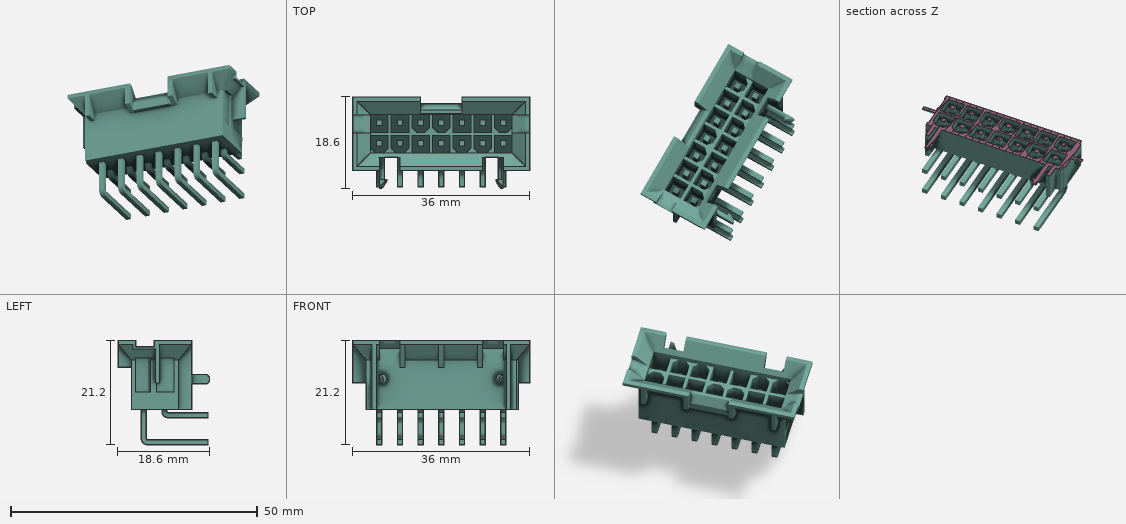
import cadquery as cq


columns = 7
pitch = 4.2
pin_size = 1.07
inner_bend_radius = 0.2
pin_shift = 0.16
pin_tip_y = -10.8
pin_top_z = 8.0
upper_run_z = -1.14

overall_height = 21.23
body_height = 14.05
lower_run_z = body_height - overall_height + pin_size / 2
rim_length = 36.0
rim_depth = 15.0
flare = 2.7
rim_band = 0.8
flare_bottom_z = 10.05

rim_x = rim_length / 2
rim_y = rim_depth / 2
body_x = rim_x - flare
body_y = rim_y - flare
rim_wall = 0.9
wall = 0.9
cavity_x = body_x - wall
cavity_y = body_y - wall
funnel_drop = 2.5
funnel_bottom_z = body_height - funnel_drop

cell = 3.6
cell_chamfer = 1.0
cell_floor_z = 3.6
divider_top_z = 10.5
keyed_columns = {1: (2, 3, 6), -1: (0, 1, 4, 5)}

rib = 0.9
end_rib_x = 13.65
gusset_width = 1.06
gusset_bottom_z = 8.58
rear_gusset_tip_z = 9.65
side_rib_y = -0.48
side_rib_width = 0.8
side_rib_bottom_z = 5.45

gap_half_width = pitch
gap_ledge_y = 4.17
ledge_z = funnel_bottom_z + (gap_ledge_y - cavity_y) * funnel_drop / flare
latch_reach_y = 6.15
latch_tip_z = 10.2
notch_width = pitch
notch_x = 10.5
side_notch_front_y = 0.15
side_notch_rear_y = 3.85
side_notch_depth = 1.28
side_notch_z = body_height - side_notch_depth
side_lip_width = 0.5
side_lip_drop = 0.06
side_saddle_front_y = -0.1
side_saddle_rear_y = 4.42
side_saddle_thickness = 0.42
side_saddle_z = side_notch_z - side_saddle_thickness

ridge_height = 0.4
recess_depth = 0.2
recess_slant = 0.25
recess_overshoot = 0.4
recess_bottom_z = 3.6
recess_top_z = 10.5
front_recess_y = -0.28
rear_recess_y = 0.92

peg_x = 12.58
peg_z = 6.17
peg_half_height = 0.97
peg_slab = 0.37
peg_shaft_width = 1.05
peg_head_slab = 1.03
peg_head_width = 1.5
peg_head_y = -9.3
peg_cone_y = -9.6
peg_shoulder_y = -10.8
peg_shoulder_radius = 0.8
peg_tip_y = -11.1
peg_tip_radius = 0.4


def block(x0, x1, y0, y1, z0, z1):
    """Box between two opposite corners."""
    return cq.Workplane("XY").box(x1 - x0, y1 - y0, z1 - z0, centered=False).translate((x0, y0, z0))


def frustum(x0, y0, z0, x1, y1, z1):
    """Rectangular frustum given by its half sizes at two heights."""
    lower = cq.Workplane("XY").workplane(offset=z0).rect(2 * x0, 2 * y0)
    return lower.workplane(offset=z1 - z0).rect(2 * x1, 2 * y1).loft(ruled=True)


def along_x(points, x0, x1):
    """Prism with a (y, z) outline, spanning x0 to x1."""
    return cq.Workplane("YZ").polyline(points).close().extrude(x1 - x0).translate((x0, 0, 0))


def along_y(points, y0, y1):
    """Prism with an (x, z) outline, spanning y0 to y1."""
    return cq.Workplane("XZ").polyline(points).close().extrude(y0 - y1).translate((0, y0, 0))


def along_z(points, z0, z1):
    """Prism with an (x, y) outline, spanning z0 to z1."""
    return cq.Workplane("XY").polyline(points).close().extrude(z1 - z0).translate((0, 0, z0))


def mirrored(solid):
    """The solid together with its mirror image across X = 0."""
    return solid.union(solid.mirror("YZ"))


def column_x(column):
    return (column - (columns - 1) / 2) * pitch


def shell():
    """Block body carrying the flared rim, with thickened saddles under the side notches."""
    band_z = body_height - rim_band
    body = block(-body_x, body_x, -body_y, body_y, 0, band_z)
    body = body.union(frustum(body_x, body_y, flare_bottom_z, rim_x, rim_y, band_z))
    body = body.union(block(-rim_x, rim_x, -rim_y, rim_y, band_z, body_height))
    saddle = block(body_x, rim_x, side_saddle_front_y, side_saddle_rear_y, side_saddle_z, band_z)
    return body.union(mirrored(saddle))


def ribs():
    """Full-height end ribs at the front, shorter ones at the rear and on the sides."""
    x0, x1 = end_rib_x - rib / 2, end_rib_x + rib / 2
    front = block(x0, x1, -rim_y, -body_y, 0, body_height - rim_band)
    rear = block(x0, x1, body_y, rim_y, gusset_bottom_z, body_height - rim_band)
    y0, y1 = side_rib_y - side_rib_width / 2, side_rib_y + side_rib_width / 2
    side = block(body_x - recess_depth, rim_x, y0, y1, side_rib_bottom_z, body_height - rim_band)
    return mirrored(front.union(rear).union(side))


def front_gussets():
    """Three triangular gussets under the middle of the front rim."""
    band_z = body_height - rim_band
    outer_x = notch_x - notch_width / 2 - gusset_width / 2
    outline = [(-body_y, gusset_bottom_z), (-rim_y, band_z), (-body_y, band_z)]
    gussets = cq.Workplane("XY")
    for x in (-outer_x, 0, outer_x):
        gussets = gussets.union(along_x(outline, x - gusset_width / 2, x + gusset_width / 2))
    return gussets


def rear_gussets():
    """Deep gussets flush with both ends of the rear gap."""
    band_z = body_height - rim_band
    outline = [(body_y, gusset_bottom_z), (rim_y, rear_gusset_tip_z), (rim_y, band_z), (body_y, band_z)]
    return mirrored(along_x(outline, gap_half_width, gap_half_width + gusset_width))


def stacking_ridge():
    """Ridge down the +X end with rounded vertical sides."""
    ridge = block(cavity_x, body_x + ridge_height, -cavity_y, cavity_y, 0, recess_top_z)
    return ridge.edges("|Z and >X").fillet(ridge_height)


def stacking_recesses():
    """Two shallow recesses in the -X end; the rear one has a sloping front side."""
    floor_x = recess_depth - body_x
    open_x = -body_x - recess_overshoot
    open_slant = recess_slant * recess_overshoot / recess_depth
    front = block(open_x, floor_x, -cavity_y, front_recess_y, recess_bottom_z, recess_top_z)
    rear_outline = [(floor_x, cavity_y), (floor_x, rear_recess_y + recess_slant),
                    (open_x, rear_recess_y - open_slant), (open_x, cavity_y)]
    return front.union(along_z(rear_outline, recess_bottom_z, recess_top_z))


def contact_cells():
    """Square wells, some with the two front corners chamfered, below an open cavity."""
    void = block(-cavity_x, cavity_x, -cavity_y, cavity_y, divider_top_z, funnel_bottom_z)
    funnel_x, funnel_y = rim_x - rim_wall, rim_y - rim_wall
    void = void.union(frustum(cavity_x, cavity_y, funnel_bottom_z, funnel_x, funnel_y, body_height))
    half = cell / 2
    square = [(-half, -half), (half, -half), (half, half), (-half, half)]
    keyed = [(cell_chamfer - half, -half), (half - cell_chamfer, -half), (half, cell_chamfer - half),
             (half, half), (-half, half), (-half, cell_chamfer - half)]
    for row in (1, -1):
        for column in range(columns):
            outline = keyed if column in keyed_columns[row] else square
            well = along_z(outline, cell_floor_z, divider_top_z)
            void = void.union(well.translate((column_x(column), row * pitch / 2, 0)))
    return void


def rear_gap():
    """Opening in the rear rim down to a narrow ledge on the wall."""
    above_ledge = block(-gap_half_width, gap_half_width, cavity_y, rim_y, ledge_z, body_height)
    behind_wall = block(-gap_half_width, gap_half_width, body_y, rim_y, 0, body_height)
    return above_ledge.union(behind_wall)


def latch_ramp():
    """Wedge on the rear wall, inside the gap, that a latch hooks under."""
    outline = [(body_y, gusset_bottom_z), (latch_reach_y, gusset_bottom_z),
               (latch_reach_y, latch_tip_z), (body_y, ledge_z)]
    return along_x(outline, -gap_half_width, gap_half_width)


def front_notches():
    """Gaps in the front rim, flush with the body wall, above the snap pegs."""
    x0, x1 = notch_x - notch_width / 2, notch_x + notch_width / 2
    return mirrored(block(x0, x1, -rim_y, -body_y, 0, body_height))


def side_notches():
    """Lowered stretches of the end rims with a flatter lead-in slope."""
    funnel_edge_x = rim_x - rim_wall
    outline = [(cavity_x, funnel_bottom_z), (funnel_edge_x, side_notch_z - side_lip_drop),
               (rim_x - side_lip_width, side_notch_z), (rim_x, side_notch_z),
               (rim_x, body_height), (cavity_x, body_height)]
    return mirrored(along_y(outline, side_notch_front_y, side_notch_rear_y))


def bent_pin(x, y, run_z):
    """Square pin rising into a cell and bent toward -Y, with a rounded bend."""
    half = pin_size / 2
    leg = (
        cq.Workplane("YZ")
        .moveTo(y - half, pin_top_z)
        .lineTo(y - half, run_z + half + inner_bend_radius)
        .radiusArc((y - half - inner_bend_radius, run_z + half), inner_bend_radius)
        .lineTo(pin_tip_y, run_z + half)
        .lineTo(pin_tip_y, run_z - half)
        .lineTo(y - half - inner_bend_radius, run_z - half)
        .radiusArc((y + half, run_z + half + inner_bend_radius), -inner_bend_radius - pin_size)
        .lineTo(y + half, pin_top_z)
        .close()
        .extrude(pin_size)
    )
    return leg.translate((x - half, 0, 0))


def d_bar(slab, width, y0, y1):
    """Bar along Y with a flat at X = peg_x and a rounded side facing the middle of the part."""
    bar = (
        cq.Workplane("XZ")
        .moveTo(peg_x, peg_z - peg_half_height)
        .lineTo(peg_x - slab, peg_z - peg_half_height)
        .threePointArc((peg_x - width, peg_z), (peg_x - slab, peg_z + peg_half_height))
        .lineTo(peg_x, peg_z + peg_half_height)
        .close()
        .extrude(y0 - y1)
    )
    return bar.translate((0, y0, 0))


def snap_pegs():
    """Pegs with hooked heads that taper in two steps about an axis on the outer flat."""
    shaft = d_bar(peg_slab, peg_shaft_width, peg_head_y, -body_y)
    head = d_bar(peg_head_slab, peg_head_width, peg_tip_y, peg_head_y)
    taper = (
        cq.Workplane("XY")
        .polyline([(0, peg_head_y), (peg_head_width, peg_head_y), (peg_head_width, peg_cone_y),
                   (peg_shoulder_radius, peg_shoulder_y), (peg_tip_radius, peg_tip_y), (0, peg_tip_y)])
        .close()
        .revolve(360, (0, 0, 0), (0, 1, 0))
        .translate((peg_x, 0, peg_z))
    )
    return mirrored(shaft.union(head.intersect(taper)))


housing = shell().cut(stacking_recesses())
for added in (ribs(), front_gussets(), rear_gussets(), stacking_ridge()):
    housing = housing.union(added)
for opening in (contact_cells(), rear_gap(), front_notches(), side_notches()):
    housing = housing.cut(opening)
housing = housing.union(latch_ramp()).union(snap_pegs())

result = housing
for column in range(columns):
    for row, run_z in ((1, lower_run_z), (-1, upper_run_z)):
        result = result.union(bent_pin(column_x(column), row * pitch / 2 + pin_shift, run_z))